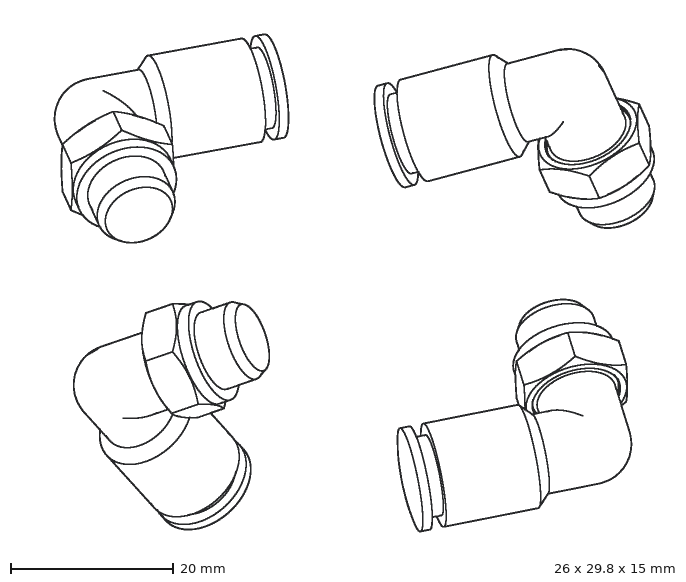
import cadquery as cq
import math

overall_length_x = 26.0
overall_length_y = 29.75

pipe_radius = 5.0
socket_diameter = 13.0
socket_radius = socket_diameter / 2

taper_start = 6.52
taper_end = 8.0
socket_end = 20.0
neck_radius = 5.05
ring_start = 21.75
ring_end = overall_length_y - socket_radius
ring_chamfer_length = 0.3
ring_chamfer_depth = 1.35

nut_start = 7.47
nut_end = 12.5
flange_end = 14.07
stud_end = overall_length_x - socket_radius
stud_chamfer_length = 1.25
stud_chamfer_depth = 0.68
flange_radius = 6.4

nut_across_flats = socket_diameter
nut_across_corners = nut_across_flats / math.cos(math.radians(30))
nut_face_radius = 6.4
nut_chamfer_length = 0.62

recess_radius = 5.6
recess_cone_radius = 5.47
recess_depth = recess_cone_radius - pipe_radius


def revolve_on_x(profile):
    """Revolve (station, radius) points about the X axis."""
    return cq.Workplane("XY").polyline(profile).close().revolve(360, (0, 0, 0), (1, 0, 0))


def make_socket():
    """Socket leg with its conical shoulder, neck and release ring."""
    profile = [
        (0, 0),
        (0, pipe_radius),
        (taper_start, pipe_radius),
        (taper_end, socket_radius),
        (socket_end, socket_radius),
        (socket_end, neck_radius),
        (ring_start, neck_radius),
        (ring_start, socket_radius),
        (ring_end - ring_chamfer_length, socket_radius),
        (ring_end, socket_radius - ring_chamfer_depth),
        (ring_end, 0),
    ]
    return revolve_on_x(profile).rotate((0, 0, 0), (0, 0, 1), 90)


def make_stud():
    """Stud leg with its flange and chamfered end."""
    profile = [
        (0, 0),
        (0, pipe_radius),
        (nut_end, pipe_radius),
        (nut_end, flange_radius),
        (flange_end, flange_radius),
        (flange_end, pipe_radius),
        (stud_end - stud_chamfer_length, pipe_radius),
        (stud_end, pipe_radius - stud_chamfer_depth),
        (stud_end, 0),
    ]
    return revolve_on_x(profile)


def make_nut():
    """Hexagonal nut whose corners are cut back by a cone on each face."""
    corner_radius = nut_across_corners / 2
    hexagon = (
        cq.Workplane("YZ")
        .workplane(offset=nut_start)
        .transformed(rotate=(0, 0, 90))
        .polygon(6, nut_across_corners)
        .extrude(nut_end - nut_start)
    )
    envelope = revolve_on_x([
        (nut_start, 0),
        (nut_start, nut_face_radius),
        (nut_start + nut_chamfer_length, corner_radius),
        (nut_end - nut_chamfer_length, corner_radius),
        (nut_end, nut_face_radius),
        (nut_end, 0),
    ])
    return hexagon.intersect(envelope)


def make_recess():
    """Ring-shaped cut around the pipe in the nut face nearest the elbow."""
    return revolve_on_x([
        (nut_start, pipe_radius),
        (nut_start, recess_radius),
        (nut_start + recess_depth, recess_radius),
        (nut_start + recess_depth, recess_cone_radius),
    ])


elbow_corner = cq.Workplane("XY").sphere(pipe_radius)
result = make_socket().union(make_stud()).union(elbow_corner).union(make_nut().cut(make_recess()))